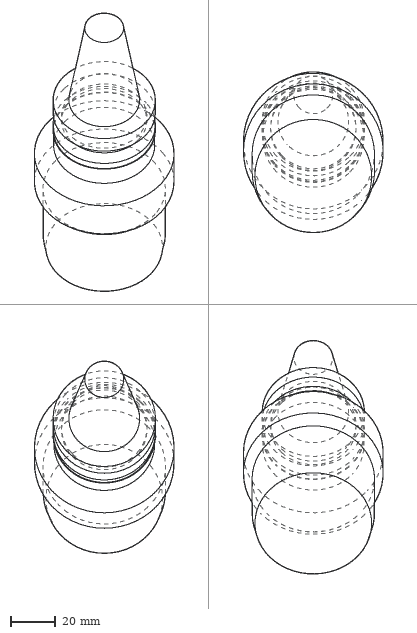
import cadquery as cq

nose_end_diameter = 52.5
nose_diameter = 55.0
shoulder_diameter = 56.4
body_diameter = 62.8
collar_diameter = 45.5
flange_diameter = 46.0
groove_diameter = 38.4
taper_large_diameter = 31.8
taper_small_diameter = 17.5

nose_chamfer_top = 8.5
nose_top = 40.2
shoulder_top = 41.5
body_bottom = 45.0
body_top = 64.4
collar_bottom = 69.8
collar_top = 79.8
lower_flange_top = 83.7
groove_bottom = 86.5
groove_top = 89.7
upper_flange_bottom = 92.1
flange_top = 100.6
taper_bottom = 101.4
total_height = 150.0

corners = [
    (nose_end_diameter, 0),
    (nose_diameter, nose_chamfer_top),
    (nose_diameter, nose_top),
    (shoulder_diameter, shoulder_top),
    (body_diameter, body_bottom),
    (body_diameter, body_top),
    (collar_diameter, collar_bottom),
    (collar_diameter, collar_top),
    (flange_diameter, collar_top),
    (flange_diameter, lower_flange_top),
    (groove_diameter, groove_bottom),
    (groove_diameter, groove_top),
    (flange_diameter, upper_flange_bottom),
    (flange_diameter, flange_top),
    (taper_large_diameter, flange_top),
    (taper_large_diameter, taper_bottom),
    (taper_small_diameter, total_height),
]

half_outline = [(0, 0)]
for diameter, height in corners:
    half_outline.append((diameter / 2, height))
half_outline.append((0, total_height))

result = cq.Workplane("XZ").polyline(half_outline).close().revolve(360, (0, 0, 0), (0, 1, 0))